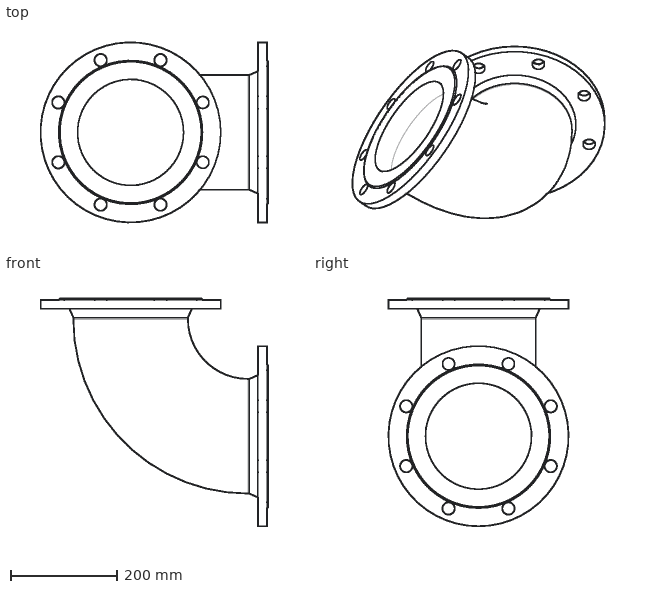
import cadquery as cq

overall_size = 430.0
flange_diameter = 340.0
flange_thickness = 17.0
raised_base_diameter = 271.5
raised_face_diameter = 266.5
raised_face_height = 2.5
bore_diameter = 200.0
pipe_diameter = 216.7
collar_diameter = 231.5
collar_length = 16.5
straight_length = 3.0
hole_diameter = 23.0
bolt_circle_diameter = 295.0
hole_count = 8

center_to_face = overall_size - flange_diameter / 2
flange_front = center_to_face - raised_face_height
flange_back = flange_front - flange_thickness
collar_end = flange_back - collar_length
bend_radius = collar_end - straight_length


def make_flanged_end():
    """Flange, tapered raised face, tapered collar and short bored pipe, facing +Z."""
    profile = [
        (bore_diameter / 2, bend_radius),
        (pipe_diameter / 2, bend_radius),
        (pipe_diameter / 2, collar_end),
        (collar_diameter / 2, flange_back),
        (flange_diameter / 2, flange_back),
        (flange_diameter / 2, flange_front),
        (raised_base_diameter / 2, flange_front),
        (raised_face_diameter / 2, center_to_face),
        (bore_diameter / 2, center_to_face),
    ]
    body = cq.Workplane("XZ").polyline(profile).close().revolve(360, (0, 0), (0, 1))
    bolt_holes = (
        cq.Workplane("XY", origin=(0, 0, flange_back))
        .polarArray(bolt_circle_diameter / 2, 180 / hole_count, 360, hole_count)
        .circle(hole_diameter / 2)
        .extrude(flange_thickness)
    )
    return body.cut(bolt_holes)


def make_bend():
    """Hollow quarter torus from the upright axis to the horizontal axis."""
    return (
        cq.Workplane("XY", origin=(0, 0, bend_radius))
        .circle(pipe_diameter / 2)
        .circle(bore_diameter / 2)
        .revolve(90, (bend_radius, 0), (bend_radius, -1))
    )


def turn_to_side(shape):
    """Turn an upright end so that it faces +X."""
    return shape.rotate((0, 0, 0), (0, 1, 0), 90)


flanged_end = make_flanged_end()
elbow = make_bend().union(flanged_end).union(turn_to_side(flanged_end))

result = elbow.translate((flange_diameter / 2, 0, flange_diameter / 2))